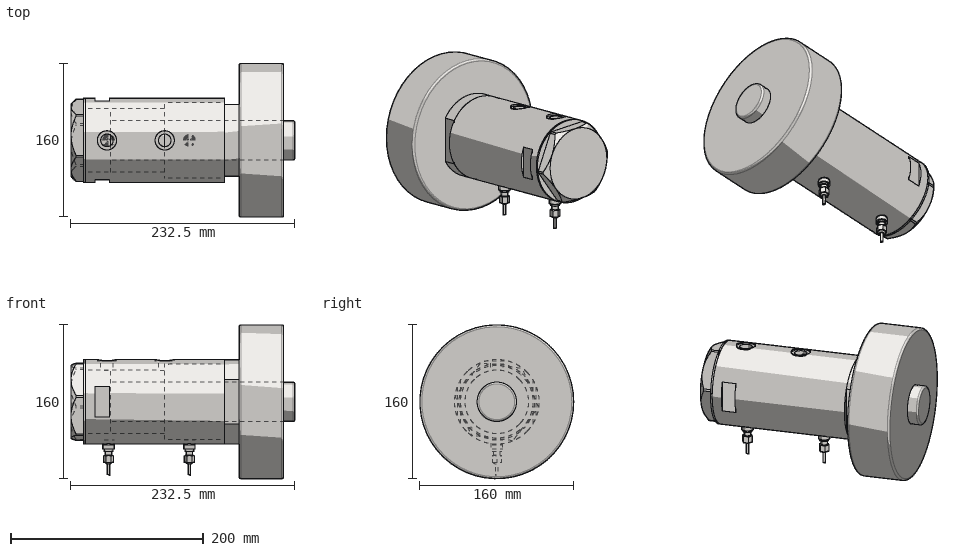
import cadquery as cq
import math

hex_end = 13.3
cap_end = 15.0
cap_spigot_end = 41.1
gland_start = 97.5
tube_end = 159.7
neck_end = 174.5
flange_end = 220.8
rod_end = 232.5

tube_radius = 44.0
bore_radius = 33.0
gland_radius = 39.3
rod_radius = 20.5
flange_radius = 80.0
flange_round = 2.0
rod_round = 1.9

hex_across_flats = 75.5
hex_corner_radius = 43.0
hex_turn = -7.4
hex_chamfer_radius = 37.7

tube_flat_across = 81.8
tube_flat_start = 25.0
tube_flat_width = 14.9
neck_flat_across = 74.9

port_places = [37.5, gland_start]
port_radius = 6.5
spotface_radius = 10.0
spotface_height = 42.3

sensor_places = [39.0, 123.0]
stem_radius = 5.8
stem_top = -39.5
collar_top = -44.6
collar_radius = 6.0
collar_bottom = -49.3
ring_radius = 4.6
ring_bottom = -51.4
waist_radius = 3.5
nut_top = -55.3
nut_across_flats = 9.3
nut_chamfer_spread = 2.0
nut_bottom = -63.0
nut_cone_radius = 4.0
nut_cone_tip_radius = 2.0
nut_cone_bottom = -64.5
cable_radius = 1.5
cable_short_side = -75.3
cable_long_side = -76.5


def disc(start, end, radius):
    """Cylinder on the X axis between two positions."""
    return cq.Workplane("YZ", origin=(start, 0, 0)).circle(radius).extrude(end - start)


def post(x, bottom, top, radius):
    """Vertical cylinder at x between two heights."""
    return cq.Workplane("XY", origin=(x, 0, bottom)).circle(radius).extrude(top - bottom)


def frustum(x, bottom, top, bottom_radius, top_radius):
    """Vertical cone frustum at x between two heights."""
    cone = cq.Solid.makeCone(bottom_radius, top_radius, top - bottom, cq.Vector(x, 0, bottom))
    return cq.Workplane("XY").add(cone)


def corner_diameter(across_flats):
    """Diameter through the corners of a hexagon."""
    return across_flats / math.cos(math.pi / 6)


def between_flats(start, end, across):
    """Block that keeps the material between a pair of flats facing -Y and +Y."""
    size = 2 * tube_radius
    return cq.Workplane("XY").box(end - start, across, size).translate(((start + end) / 2, 0, 0))


def sensor_stem(x):
    """Part of a sensor that sits in the tube wall, also the shape of its seat."""
    return post(x, collar_top, stem_top, stem_radius)


def make_cap():
    """End cap: chamfered hexagon, round collar and a spigot in the bore."""
    hexagon = cq.Workplane("YZ").polygon(6, corner_diameter(hex_across_flats)).extrude(hex_end)
    hexagon = hexagon.rotate((0, 0, 0), (1, 0, 0), hex_turn)
    chamfer_cone = cq.Solid.makeCone(
        hex_chamfer_radius, hex_chamfer_radius + hex_end, hex_end, cq.Vector(0, 0, 0), cq.Vector(1, 0, 0)
    )
    hexagon = hexagon.intersect(cq.Workplane("XY").add(chamfer_cone))
    hexagon = hexagon.intersect(disc(0, hex_end, hex_corner_radius))
    turned = disc(hex_end, cap_end, tube_radius).union(disc(cap_end, cap_spigot_end, bore_radius))
    turned = turned.rotate((0, 0, 0), (1, 0, 0), hex_turn)
    return hexagon.union(turned)


def make_tube():
    """Tube with a stepped bore, wrench flats, spotfaced ports and sensor seats."""
    tube = disc(cap_end, tube_end, tube_radius)
    flat_end = tube_flat_start + tube_flat_width
    flat_cut = disc(tube_flat_start, flat_end, tube_radius)
    tube = tube.cut(flat_cut.cut(between_flats(tube_flat_start, flat_end, tube_flat_across)))
    tube = tube.cut(disc(cap_end, gland_start, bore_radius)).cut(disc(gland_start, tube_end, gland_radius))
    for x in port_places:
        tube = tube.cut(post(x, 0, tube_radius, port_radius))
        tube = tube.cut(post(x, spotface_height, tube_radius, spotface_radius))
    for x in sensor_places:
        tube = tube.cut(sensor_stem(x))
    return tube


def make_gland():
    """Rod gland: a spigot in the tube counterbore and a neck with wrench flats, bored for the rod."""
    neck = disc(tube_end, neck_end, tube_radius)
    neck = neck.intersect(between_flats(tube_end, neck_end, neck_flat_across))
    gland = disc(gland_start, tube_end, gland_radius).union(neck)
    return gland.cut(disc(gland_start, neck_end, rod_radius))


def make_flange():
    """Large disc with rounded rims, bored for the rod."""
    flange = disc(neck_end, flange_end, flange_radius).edges().fillet(flange_round)
    return flange.cut(disc(neck_end, flange_end, rod_radius))


def make_rod():
    """Plain rod with a rounded tip."""
    return disc(cap_spigot_end, rod_end, rod_radius).faces(">X").edges().fillet(rod_round)


def make_sensor(x):
    """Sensor with stem, stepped collar, hexagon nut and a cable cut off at a slant."""
    sensor = sensor_stem(x)
    sensor = sensor.union(post(x, collar_bottom, collar_top, collar_radius))
    sensor = sensor.union(post(x, ring_bottom, collar_bottom, ring_radius))
    sensor = sensor.union(post(x, nut_top, ring_bottom, waist_radius))

    nut_diameter = corner_diameter(nut_across_flats)
    nut_height = nut_top - nut_bottom
    nut = cq.Workplane("XY", origin=(x, 0, nut_bottom)).polygon(6, nut_diameter).extrude(nut_height)
    chamfer_base_radius = waist_radius + nut_chamfer_spread * nut_height
    nut = nut.intersect(frustum(x, nut_bottom, nut_top, chamfer_base_radius, waist_radius))
    sensor = sensor.union(nut)
    sensor = sensor.union(frustum(x, nut_cone_bottom, nut_bottom, nut_cone_tip_radius, nut_cone_radius))

    cable = (
        cq.Workplane("XZ", origin=(0, cable_radius, 0))
        .moveTo(x - cable_radius, nut_cone_bottom)
        .lineTo(x + cable_radius, nut_cone_bottom)
        .lineTo(x + cable_radius, cable_long_side)
        .lineTo(x - cable_radius, cable_short_side)
        .close()
        .extrude(2 * cable_radius)
    )
    return sensor.union(cable.intersect(post(x, cable_long_side, nut_cone_bottom, cable_radius)))


cap = make_cap()
tube = make_tube()
gland = make_gland()
flange = make_flange()
rod = make_rod()
sensors = [make_sensor(x) for x in sensor_places]

bodies = [cap, tube, gland, flange, rod, *sensors]
result = cq.Compound.makeCompound([body.solids().val() for body in bodies])